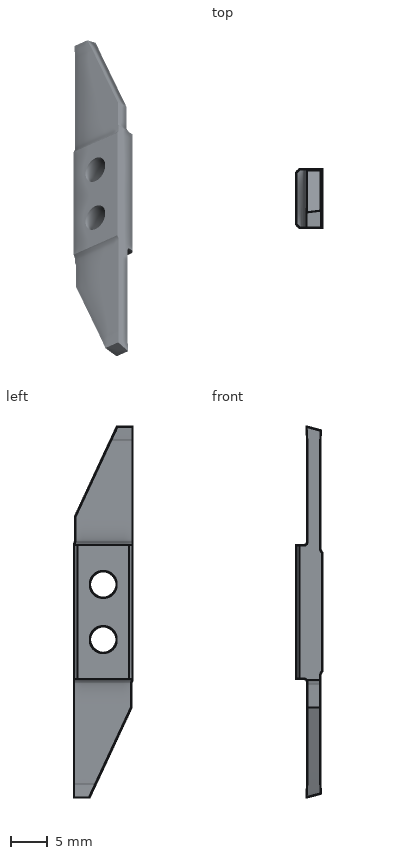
import cadquery as cq
import math

LENGTH = 50.5
WIDTH = 8.0
THICKNESS = 3.6

BLOCK_HALF_HEIGHT = 9.1
BLOCK_CHAMFER = 0.5
HOLE_DIAMETER = 3.6
HOLE_SPACING = 7.5

ARM_LOW_X = -0.3
BACK_STEP = 0.3
SIDE_STEP = 0.18
ARM_FILLET = 0.4
RUNOUT_RADIUS = 1.0
BACK_RUNOUT_END = 8.75
SIDE_RUNOUT_END = 9.8
BEVEL_START = 13.0
BEVEL_ANGLE = 25.0

TIP_FLARE = 0.1
TIP_LENGTH = 1.85
TIP_ANGLE = 15.0

HALF_LENGTH = LENGTH / 2
HALF_WIDTH = WIDTH / 2
HALF_THICKNESS = THICKNESS / 2
ARM_HIGH_X = HALF_THICKNESS - BACK_STEP


def runout(radius, step):
    """Height of a concave arc across a step, and the height and depth of its middle.

    The arc is tangent to the face at the foot of the step; the middle is measured from there.
    """
    angle = math.acos(1 - step / radius)
    height = radius * math.sin(angle)
    middle_height = radius * math.sin(angle / 2)
    middle_depth = radius * (1 - math.cos(angle / 2))
    return height, middle_height, middle_depth


def half_profile():
    """Upper half of the part, as its XZ outline extruded across the full width."""
    height, middle_height, middle_depth = runout(RUNOUT_RADIUS, BACK_STEP)
    tip_low_x = ARM_LOW_X - TIP_FLARE
    tip_high_x = ARM_HIGH_X + TIP_FLARE
    tip_high_z = HALF_LENGTH - (tip_high_x - tip_low_x) * math.tan(math.radians(TIP_ANGLE))
    fillet_center_x = ARM_LOW_X - ARM_FILLET
    fillet_center_z = BLOCK_HALF_HEIGHT + ARM_FILLET
    fillet_middle = ARM_FILLET * math.sqrt(0.5)
    return (
        cq.Workplane("XZ", origin=(0, HALF_WIDTH, 0))
        .moveTo(-HALF_THICKNESS, 0)
        .lineTo(HALF_THICKNESS, 0)
        .lineTo(HALF_THICKNESS, BACK_RUNOUT_END - height)
        .threePointArc(
            (ARM_HIGH_X + middle_depth, BACK_RUNOUT_END - middle_height),
            (ARM_HIGH_X, BACK_RUNOUT_END),
        )
        .lineTo(ARM_HIGH_X, tip_high_z - TIP_LENGTH)
        .lineTo(tip_high_x, tip_high_z)
        .lineTo(tip_low_x, HALF_LENGTH)
        .lineTo(ARM_LOW_X, HALF_LENGTH - TIP_LENGTH)
        .lineTo(ARM_LOW_X, fillet_center_z)
        .threePointArc(
            (fillet_center_x + fillet_middle, fillet_center_z - fillet_middle),
            (fillet_center_x, BLOCK_HALF_HEIGHT),
        )
        .lineTo(-HALF_THICKNESS, BLOCK_HALF_HEIGHT)
        .close()
        .extrude(WIDTH)
    )


def side_outline():
    """YZ outline of the upper half, extruded through the thickness: straight on -Y, bevelled on +Y."""
    height, middle_height, middle_depth = runout(RUNOUT_RADIUS, SIDE_STEP)
    arm_side = HALF_WIDTH - SIDE_STEP
    tip_side = arm_side - (HALF_LENGTH - BEVEL_START) * math.tan(math.radians(BEVEL_ANGLE))
    return (
        cq.Workplane("YZ", origin=(-HALF_THICKNESS, 0, 0))
        .moveTo(-HALF_WIDTH, 0)
        .lineTo(HALF_WIDTH, 0)
        .lineTo(HALF_WIDTH, SIDE_RUNOUT_END - height)
        .threePointArc(
            (arm_side + middle_depth, SIDE_RUNOUT_END - middle_height),
            (arm_side, SIDE_RUNOUT_END),
        )
        .lineTo(arm_side, BEVEL_START)
        .lineTo(tip_side, HALF_LENGTH)
        .lineTo(-HALF_WIDTH, HALF_LENGTH)
        .close()
        .extrude(THICKNESS)
    )


def chamfered_section():
    """XY section of the block, with both -X edges chamfered, over the full length."""
    return (
        cq.Workplane("XY")
        .box(THICKNESS, WIDTH, LENGTH)
        .edges("<X and |Z")
        .chamfer(BLOCK_CHAMFER)
    )


def holes():
    """The two round holes through the block along X."""
    return (
        cq.Workplane("YZ", origin=(-HALF_THICKNESS, 0, 0))
        .rarray(1, HOLE_SPACING, 1, 2)
        .circle(HOLE_DIAMETER / 2)
        .extrude(THICKNESS)
    )


upper_half = half_profile().intersect(side_outline())
lower_half = upper_half.rotate((0, 0, 0), (1, 0, 0), 180)
result = upper_half.union(lower_half).intersect(chamfered_section()).cut(holes())